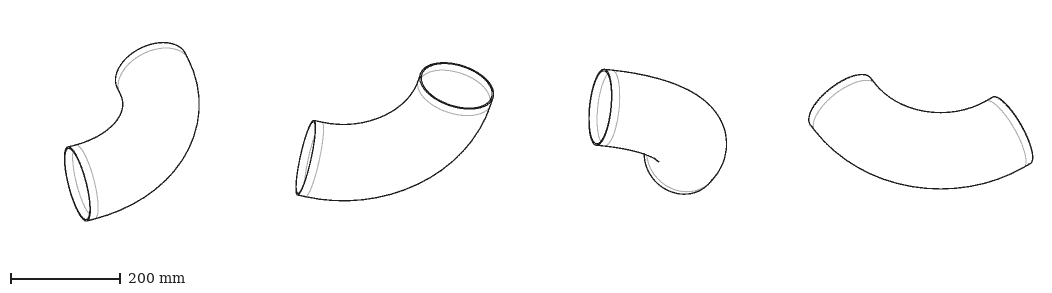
import cadquery as cq

overall_length = 295.0
outer_diameter = 139.8
inner_diameter = 134.0
collar_length = 15.0

bend_radius = overall_length - collar_length - outer_diameter / 2
bend_angle = 90


def pipe_section(plane_name, center):
    """Ring-shaped pipe section on a plane through the given point."""
    return (
        cq.Workplane(plane_name, origin=center)
        .circle(outer_diameter / 2)
        .circle(inner_diameter / 2)
    )


bend_start = (bend_radius, 0, 0)
bend_end = (0, bend_radius, 0)

bend = pipe_section("XZ", bend_start).revolve(
    bend_angle, (-bend_radius, 0), (-bend_radius, 1)
)

front_collar = pipe_section("XZ", bend_start).extrude(collar_length)
left_collar = pipe_section("YZ", bend_end).extrude(-collar_length)

result = bend.union(front_collar).union(left_collar)